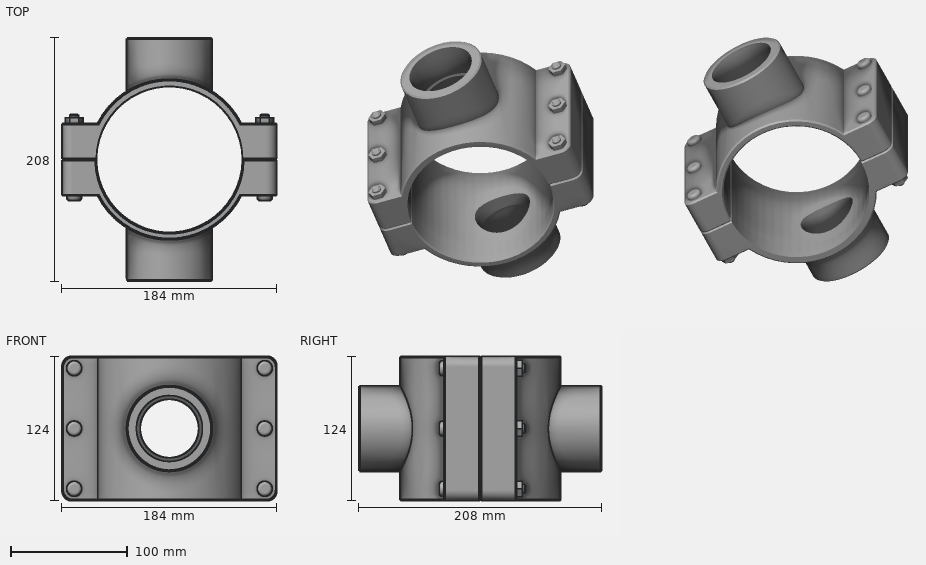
import cadquery as cq
import math

height = 124.0
flange_width = 184.0
flange_depth = 31.2
corner_radius = 9.0
bore_radius = 62.5
ring_radius = 68.8
edge_chamfer = 1.2

port_reach = 104.0
port_radius = 73.6 / 2
passage_radius = 50 / 2
socket_radius = 56.5 / 2
socket_depth = 30.0
seat_depth = 1.5

bolt_x = 81.5
bolt_pitch = 51.5
bolts_per_flange = 3
head_radius = 13.0 / 2
head_height = 4.2
head_round = 3.0
nut_across_flats = 13.3
nut_height = 4.5
stud_radius = 8.0 / 2
stud_reach = 7.7
stud_chamfer = 1.5

joint_x = math.sqrt(ring_radius**2 - flange_depth**2)


def y_cylinder(radius, start, end):
    """Cylinder on the Y axis, from Y = start up to Y = end."""
    return cq.Workplane("XZ", origin=(0, start, 0)).circle(radius).extrude(start - end)


def z_cylinder(radius):
    """Cylinder on the Z axis, over the full height of the clamp."""
    return cq.Workplane("XY").circle(radius).extrude(height / 2, both=True)


def half_blank():
    """Solid half of the clamp on the -Y side, with rounded flange corners."""
    half_width = flange_width / 2
    return (
        cq.Workplane("XY")
        .moveTo(-half_width, 0)
        .lineTo(-half_width, -flange_depth)
        .lineTo(-joint_x, -flange_depth)
        .threePointArc((0, -ring_radius), (joint_x, -flange_depth))
        .lineTo(half_width, -flange_depth)
        .lineTo(half_width, 0)
        .close()
        .extrude(height / 2, both=True)
        .edges("|Y")
        .fillet(corner_radius)
    )


def chamfer_rims(half):
    """Chamfer every edge but the inner corners and the smooth ends of the rounded corners."""
    margin = 2.0
    inner_corners = cq.selectors.BoxSelector(
        (-joint_x - margin, -flange_depth - margin, -margin),
        (joint_x + margin, -flange_depth + margin, margin),
    )
    sharp_edges = cq.selectors.StringSyntaxSelector("not(|Y)")
    return half.edges(sharp_edges - inner_corners).chamfer(edge_chamfer)


def front_half():
    """The front half has its bore edges chamfered as well."""
    return chamfer_rims(half_blank().cut(z_cylinder(bore_radius)))


def rear_half():
    """The rear half has a sharp-edged bore."""
    return chamfer_rims(half_blank()).cut(z_cylinder(bore_radius)).mirror("XZ")


def fastener():
    """Round-headed bolt along Y, with its nut on the rear flange face."""
    head = (
        y_cylinder(head_radius, -flange_depth - head_height, -flange_depth)
        .faces("<Y")
        .edges()
        .fillet(head_round)
    )
    nut = (
        cq.Workplane("XZ", origin=(0, flange_depth, 0))
        .polygon(6, nut_across_flats / math.cos(math.pi / 6))
        .extrude(-nut_height)
    )
    stud = (
        y_cylinder(stud_radius, -flange_depth, flange_depth + stud_reach)
        .faces(">Y")
        .edges()
        .chamfer(stud_chamfer)
    )
    return head.union(nut).union(stud)


def front_port():
    """Port on the -Y side, its inner end shaped to sit on a cylinder inside the ring wall."""
    return (
        y_cylinder(port_radius, -port_reach, 0)
        .faces("<Y")
        .edges()
        .chamfer(edge_chamfer)
        .cut(y_cylinder(passage_radius, -port_reach, 0))
        .cut(y_cylinder(socket_radius, -port_reach, socket_depth - port_reach))
        .cut(z_cylinder(ring_radius - seat_depth))
    )


def clamp_body(port_bodies):
    """Both halves joined by their fasteners, with a passage and a seat for each port."""
    body = front_half().union(rear_half())
    for x in (-bolt_x, bolt_x):
        for row in range(bolts_per_flange):
            z = (row - (bolts_per_flange - 1) / 2) * bolt_pitch
            body = body.union(fastener().translate((x, 0, z)))
    body = body.cut(y_cylinder(passage_radius, -ring_radius, ring_radius))
    for port in port_bodies:
        body = body.cut(port)
    return body


ports = [front_port().rotate((0, 0, 0), (0, 0, 1), angle) for angle in (0, 180)]
clamp = clamp_body(ports)

result = cq.Compound.makeCompound([clamp.val(), *[port.val() for port in ports]])